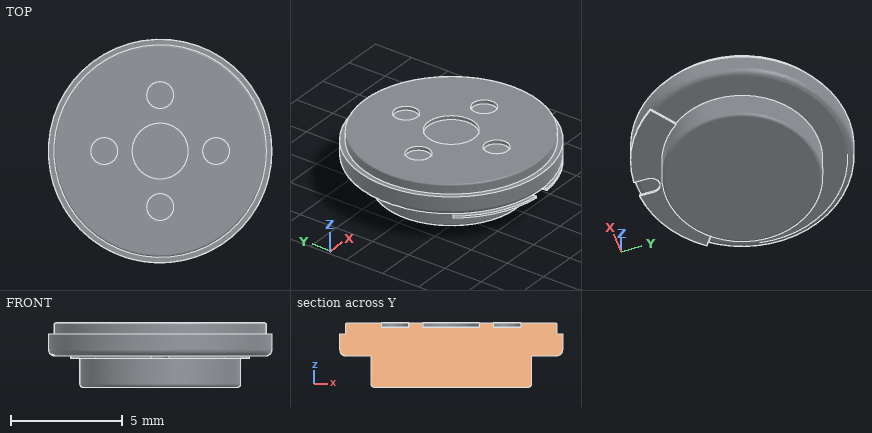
import cadquery as cq
import math

barrel_radius = 3.6
barrel_height = 1.4
barrel_edge_radius = 0.15
flange_radius = 5.0
flange_height = 1.0
flange_edge_radius = 0.3
cap_radius = 4.75
cap_height = 0.5
cap_edge_radius = 0.1

hole_depth = 0.2
center_hole_radius = 1.25
small_hole_radius = 0.6
small_hole_circle_radius = 2.5
small_hole_count = 4

terminal_thickness = 0.1
terminal_half_span = 4.0
slot_width = 0.8
slot_depth = 1.1

flange_top = barrel_height + flange_height
top_height = flange_top + cap_height


def disc(radius, height, base_height):
    return cq.Workplane("XY", origin=(0, 0, base_height)).circle(radius).extrude(height)


def make_body():
    barrel = disc(barrel_radius, barrel_height, 0).faces("<Z").edges().fillet(barrel_edge_radius)
    flange = disc(flange_radius, flange_height, barrel_height)
    flange = flange.faces("<Z").edges().fillet(flange_edge_radius)
    cap = disc(cap_radius, cap_height, flange_top).faces(">Z").edges().fillet(cap_edge_radius)
    return barrel.union(flange).union(cap)


def make_holes():
    hole_floor = top_height - hole_depth
    small_holes = (
        cq.Workplane("XY", origin=(0, 0, hole_floor))
        .polarArray(small_hole_circle_radius, 0, 360, small_hole_count)
        .circle(small_hole_radius)
        .extrude(hole_depth)
    )
    return disc(center_hole_radius, hole_depth, hole_floor).union(small_holes)


def make_terminal():
    end_angle = -math.acos(terminal_half_span / flange_radius)
    base_height = barrel_height - terminal_thickness

    def polar(radius, angle):
        return (radius * math.cos(angle), radius * math.sin(angle))

    right_inner = polar(barrel_radius, end_angle)
    right_outer = polar(flange_radius, end_angle)
    sector = (
        cq.Workplane("XY", origin=(0, 0, base_height))
        .moveTo(*right_inner)
        .lineTo(*right_outer)
        .threePointArc((0, -flange_radius), (-right_outer[0], right_outer[1]))
        .lineTo(-right_inner[0], right_inner[1])
        .threePointArc((0, -barrel_radius), right_inner)
        .close()
        .extrude(terminal_thickness)
    )
    slot_end_radius = slot_width / 2
    slot_center_y = slot_depth - slot_end_radius - flange_radius
    slot = (
        cq.Workplane("XY", origin=(0, 0, base_height))
        .moveTo(slot_end_radius, -flange_radius)
        .lineTo(slot_end_radius, slot_center_y)
        .threePointArc((0, slot_center_y + slot_end_radius), (-slot_end_radius, slot_center_y))
        .lineTo(-slot_end_radius, -flange_radius)
        .close()
        .extrude(terminal_thickness)
    )
    return sector.cut(slot)


result = make_body().cut(make_holes()).union(make_terminal())